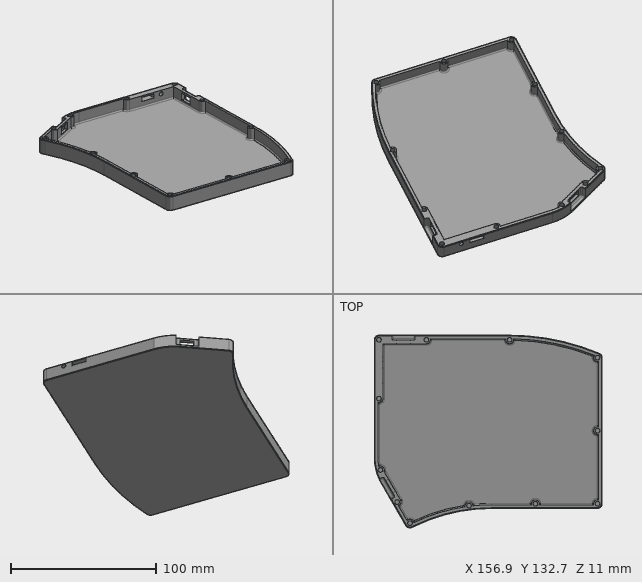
import cadquery as cq
import math


WIDTH = 156.91
DEPTH = 132.65
HEIGHT = 11.0

WALL = 2.5
FLOOR = 2.5
CORNER_RADIUS = 3.5
EDGE_CHAMFER = 0.5
FLOOR_FILLET = 1.0

BACK_ARC_START_X = 92.5
BACK_ARC_RADIUS = 161.0
FRONT_ARC_START_X = 80.7
FRONT_ARC_RADIUS = 120.8
FRONT_ARC_SWEEP = math.radians(25.75)
SIDE_ARC_START_Y = -84.0
SIDE_ARC_RADIUS = 35.5
SLANT = math.radians(30)

SCREW_DIAMETER = 3.2
BOSS_RADIUS = 2.7
SCREW_INSET = 3.25
BLOCK_THICKNESS = SCREW_INSET + BOSS_RADIUS
BACK_BLOCK_END_X = 35.9
LEFT_BLOCK_END_Y = -43.7
BACK_BOSS_X = 93.2
RIGHT_BOSS_Y = -65.8
BACK_RIGHT_BOSS_Y = -15.5
FRONT_BOSS_X = 110.9
FRONT_ARC_BOSS = (65.2, -117.4)
SLANT_START_BOSS = (4.2, -92.8)
SLANT_END_BOSS = (15.7, -114.9)
SLANT_BLOCK_DISTANCE = 13.9
SLANT_BLOCK_LENGTH = 24.9
SLANT_BLOCK_THICKNESS = 5.7

POCKET_WIDTH = 16.0
POCKET_DEPTH = BLOCK_THICKNESS - WALL
POCKET_FLOOR = 2.0
POCKET_FILLET = 1.0
WINDOW_WIDTH = 9.7
WINDOW_BOTTOM = 4.4
WINDOW_TOP = 9.4
BACK_POCKET_X = 20.2
SLANT_POCKET_DISTANCE = 14.6

SIDE_OPENING_Z = 8.3
BUTTON_DIAMETER = 3.0
BUTTON_Y = -16.5
SWITCH_LENGTH = 10.4
SWITCH_HEIGHT = 3.0
SWITCH_Y = -27.8

MARGIN = 1.0

slant_origin_y = SIDE_ARC_START_Y - SIDE_ARC_RADIUS * math.tan(SLANT / 2)

tip_y = CORNER_RADIUS - DEPTH
tip_x = (slant_origin_y - tip_y) * math.tan(SLANT) + CORNER_RADIUS / math.cos(SLANT)

front_arc_end_x = FRONT_ARC_START_X - FRONT_ARC_RADIUS * math.sin(FRONT_ARC_SWEEP)
front_touch_x = tip_x + CORNER_RADIUS * math.sin(FRONT_ARC_SWEEP)
front_touch_y = tip_y - CORNER_RADIUS * math.cos(FRONT_ARC_SWEEP)
front_arc_end_y = front_touch_y + (front_arc_end_x - front_touch_x) * math.tan(FRONT_ARC_SWEEP)
front_y = front_arc_end_y + FRONT_ARC_RADIUS * (1 - math.cos(FRONT_ARC_SWEEP))


def arc_point(start, radius, angle, bend):
    """Point after turning by angle along an arc that leaves start along X.

    bend is the (x, y) pair of signs of the direction in which the arc moves.
    """
    along = radius * math.sin(angle)
    across = radius * (1 - math.cos(angle))
    return (start[0] + bend[0] * along, start[1] + bend[1] * across)


def rounded_blank():
    """Full-height solid with the outer outline and rounded corners."""
    back_start = (BACK_ARC_START_X, 0)
    back_sweep = math.asin((WIDTH - BACK_ARC_START_X) / BACK_ARC_RADIUS)
    front_start = (FRONT_ARC_START_X, front_y)
    side_end_x = SIDE_ARC_RADIUS * (1 - math.cos(SLANT))
    side_end_y = SIDE_ARC_START_Y - SIDE_ARC_RADIUS * math.sin(SLANT)
    side_middle_x = SIDE_ARC_RADIUS * (1 - math.cos(SLANT / 2))
    side_middle_y = SIDE_ARC_START_Y - SIDE_ARC_RADIUS * math.sin(SLANT / 2)
    slant_touch = (tip_x - CORNER_RADIUS * math.cos(SLANT), tip_y - CORNER_RADIUS * math.sin(SLANT))
    profile = (
        cq.Workplane("XY")
        .moveTo(0, 0)
        .lineTo(*back_start)
        .threePointArc(
            arc_point(back_start, BACK_ARC_RADIUS, back_sweep / 2, (1, -1)),
            arc_point(back_start, BACK_ARC_RADIUS, back_sweep, (1, -1)),
        )
        .lineTo(WIDTH, front_y)
        .lineTo(*front_start)
        .threePointArc(
            arc_point(front_start, FRONT_ARC_RADIUS, FRONT_ARC_SWEEP / 2, (-1, -1)),
            arc_point(front_start, FRONT_ARC_RADIUS, FRONT_ARC_SWEEP, (-1, -1)),
        )
        .lineTo(front_touch_x, front_touch_y)
        .threePointArc((tip_x, -DEPTH), slant_touch)
        .lineTo(side_end_x, side_end_y)
        .threePointArc((side_middle_x, side_middle_y), (0, SIDE_ARC_START_Y))
        .close()
    )
    back_left_corner = cq.selectors.BoxSelector(
        (-MARGIN, -MARGIN, 0),
        (MARGIN, MARGIN, HEIGHT),
    )
    right_corners = cq.selectors.BoxSelector(
        (WIDTH - MARGIN, front_y - MARGIN, 0),
        (WIDTH + MARGIN, MARGIN, HEIGHT),
    )
    return (
        profile.extrude(HEIGHT)
        .edges("|Z")
        .edges(back_left_corner + right_corners)
        .fillet(CORNER_RADIUS)
    )


def screw_points():
    """Points of the screw axes, clockwise from the back-left corner."""
    right_x = WIDTH - SCREW_INSET
    return [
        (SCREW_INSET, -SCREW_INSET),
        (BACK_BLOCK_END_X, -SCREW_INSET),
        (BACK_BOSS_X, -SCREW_INSET),
        (right_x, BACK_RIGHT_BOSS_Y),
        (right_x, RIGHT_BOSS_Y),
        (right_x, front_y + SCREW_INSET),
        (FRONT_BOSS_X, front_y + SCREW_INSET),
        FRONT_ARC_BOSS,
        (tip_x, tip_y - (CORNER_RADIUS - SCREW_INSET)),
        SLANT_END_BOSS,
        SLANT_START_BOSS,
        (SCREW_INSET, LEFT_BLOCK_END_Y),
    ]


def slant_frame(part, distance):
    """Move a part built on an outer face at y = 0, +Y outward, to a distance along the slanted side."""
    x = distance * math.sin(SLANT)
    y = slant_origin_y - distance * math.cos(SLANT)
    return part.rotate((0, 0, 0), (0, 0, 1), 90 + math.degrees(SLANT)).translate((x, y, 0))


def cavity(blank):
    """Space inside the walls, bosses and connector blocks, rounded at the floor."""
    inner = blank.faces("<Z").wires().toPending().offset2D(-WALL).extrude(HEIGHT, combine=False)
    bosses = cq.Workplane("XY").pushPoints(screw_points()).circle(BOSS_RADIUS).extrude(HEIGHT)
    back_strip = cq.Workplane("XY").box(
        BACK_BLOCK_END_X, BLOCK_THICKNESS, HEIGHT, centered=False
    ).translate((0, -BLOCK_THICKNESS, 0))
    left_strip = cq.Workplane("XY").box(
        BLOCK_THICKNESS, -LEFT_BLOCK_END_Y, HEIGHT, centered=False
    ).translate((0, LEFT_BLOCK_END_Y, 0))
    slant_strip = cq.Workplane("XY").box(
        SLANT_BLOCK_LENGTH, SLANT_BLOCK_THICKNESS, HEIGHT, centered=(True, False, False)
    ).translate((0, -SLANT_BLOCK_THICKNESS, 0))
    slant_strip = slant_frame(slant_strip, SLANT_BLOCK_DISTANCE)
    inner = inner.cut(bosses).cut(back_strip).cut(left_strip)
    inner = inner.cut(slant_strip)
    inner = inner.translate((0, 0, FLOOR))
    return inner.faces("<Z").edges().fillet(FLOOR_FILLET)


def connector_cut():
    """Pocket and window for a connector, centred on an outer face at y = 0 with +Y outward."""
    outside = POCKET_FILLET + MARGIN
    pocket = (
        cq.Workplane("XY")
        .box(POCKET_WIDTH, POCKET_DEPTH + outside, HEIGHT, centered=(True, False, False))
        .translate((0, -POCKET_DEPTH, POCKET_FLOOR))
        .edges("(|Z and <Y) or (<Z and (not >Y))")
        .fillet(POCKET_FILLET)
    )
    window = (
        cq.Workplane("XY")
        .box(WINDOW_WIDTH, 2 * BLOCK_THICKNESS, WINDOW_TOP - WINDOW_BOTTOM, centered=(True, True, False))
        .translate((0, -BLOCK_THICKNESS, WINDOW_BOTTOM))
    )
    return pocket.union(window)


def side_openings():
    """Round button hole and slide-switch slot through the left block."""
    reach = BLOCK_THICKNESS + MARGIN
    button = (
        cq.Workplane("YZ")
        .center(BUTTON_Y, SIDE_OPENING_Z)
        .circle(BUTTON_DIAMETER / 2)
        .extrude(reach)
    )
    switch = (
        cq.Workplane("YZ")
        .center(SWITCH_Y, SIDE_OPENING_Z)
        .rect(SWITCH_LENGTH, SWITCH_HEIGHT)
        .extrude(reach)
    )
    return button.union(switch)


def screw_holes():
    """Screw holes from the top down to the floor."""
    return (
        cq.Workplane("XY")
        .workplane(offset=FLOOR)
        .pushPoints(screw_points())
        .circle(SCREW_DIAMETER / 2)
        .extrude(HEIGHT)
    )


blank = rounded_blank()
back_connector = connector_cut().translate((BACK_POCKET_X, 0, 0))
slant_connector = slant_frame(connector_cut(), SLANT_POCKET_DISTANCE)

case = blank.faces("<Z or >Z").edges().chamfer(EDGE_CHAMFER)
case = case.cut(cavity(blank))
case = case.cut(screw_holes())
case = case.cut(back_connector)
case = case.cut(slant_connector)

result = case.cut(side_openings())